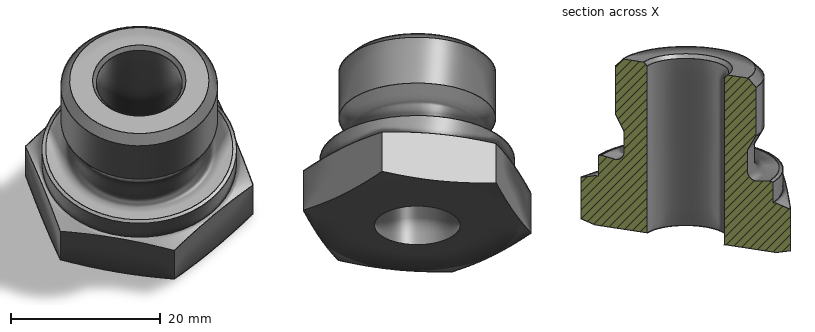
import math

import cadquery as cq

total_height = 24.0
hex_across_flats = 27.0
hex_height = 7.0
hex_chamfer_angle = 15.0

collar_diameter = 26.0
collar_rim_diameter = 25.0
collar_rim_z = 10.0
rim_bevel_angle = 15.0
dish_angle = 8.0

thread_diameter = 20.95
thread_tip_diameter = 18.6
thread_tip_chamfer_height = 1.15
undercut_diameter = 18.4
undercut_fillet_radius = 1.2
thread_runout_z = 16.0
runout_angle = 30.0

bore_diameter = 11.45
bore_mouth_diameter = 12.45


def tan_deg(angle):
    return math.tan(math.radians(angle))


def arc_point(center, radius, angle):
    """Point (r, z) on a circle, with the angle in degrees from the outward direction."""
    direction = math.radians(angle)
    return (center[0] + radius * math.cos(direction), center[1] + radius * math.sin(direction))


def make_hexagon():
    """Hexagon with corners on the Y axis, both faces bevelled by a cone."""
    corner_diameter = hex_across_flats / math.cos(math.radians(30))
    prism = cq.Workplane("XY").polygon(6, corner_diameter).extrude(hex_height)
    prism = prism.rotate((0, 0, 0), (0, 0, 1), 90)

    face_radius = hex_across_flats / 2
    envelope_radius = corner_diameter
    bevel_drop = (envelope_radius - face_radius) * tan_deg(hex_chamfer_angle)
    envelope = (
        cq.Workplane("XZ")
        .moveTo(0, 0)
        .lineTo(face_radius, 0)
        .lineTo(envelope_radius, bevel_drop)
        .lineTo(envelope_radius, hex_height - bevel_drop)
        .lineTo(face_radius, hex_height)
        .lineTo(0, hex_height)
        .close()
        .revolve(360, (0, 0, 0), (0, 1, 0))
    )
    return prism.intersect(envelope)


def make_turned_body():
    """Collar, undercut and threaded spigot as one revolved profile."""
    collar_radius = collar_diameter / 2
    rim_radius = collar_rim_diameter / 2
    undercut_radius = undercut_diameter / 2
    thread_radius = thread_diameter / 2
    bevel_z = collar_rim_z - (collar_radius - rim_radius) * tan_deg(rim_bevel_angle)

    lower_end_angle = dish_angle - 90
    lower_center_r = undercut_radius + undercut_fillet_radius
    dish_inner_r = arc_point((lower_center_r, 0), undercut_fillet_radius, lower_end_angle)[0]
    dish_inner_z = collar_rim_z - (rim_radius - dish_inner_r) * tan_deg(dish_angle)
    lower_center_z = dish_inner_z + undercut_fillet_radius * math.cos(math.radians(dish_angle))
    lower_center = (lower_center_r, lower_center_z)
    lower_mid_angle = (lower_end_angle - 180) / 2

    upper_center_r = undercut_radius + undercut_fillet_radius
    upper_end_angle = 180 - runout_angle
    runout_inner_r = arc_point((upper_center_r, 0), undercut_fillet_radius, upper_end_angle)[0]
    runout_inner_z = thread_runout_z - (thread_radius - runout_inner_r) / tan_deg(runout_angle)
    upper_center_z = runout_inner_z - undercut_fillet_radius * math.sin(math.radians(runout_angle))
    upper_center = (upper_center_r, upper_center_z)
    upper_mid_angle = (180 + upper_end_angle) / 2

    return (
        cq.Workplane("XZ")
        .moveTo(0, 0)
        .lineTo(collar_radius, 0)
        .lineTo(collar_radius, bevel_z)
        .lineTo(rim_radius, collar_rim_z)
        .lineTo(dish_inner_r, dish_inner_z)
        .threePointArc(
            arc_point(lower_center, undercut_fillet_radius, lower_mid_angle),
            (undercut_radius, lower_center_z),
        )
        .lineTo(undercut_radius, upper_center_z)
        .threePointArc(
            arc_point(upper_center, undercut_fillet_radius, upper_mid_angle),
            (runout_inner_r, runout_inner_z),
        )
        .lineTo(thread_radius, thread_runout_z)
        .lineTo(thread_radius, total_height - thread_tip_chamfer_height)
        .lineTo(thread_tip_diameter / 2, total_height)
        .lineTo(0, total_height)
        .close()
        .revolve(360, (0, 0, 0), (0, 1, 0))
    )


def make_bore():
    """Through bore with a 45 degree chamfer at the threaded end."""
    bore_radius = bore_diameter / 2
    mouth_radius = bore_mouth_diameter / 2
    mouth_depth = mouth_radius - bore_radius
    return (
        cq.Workplane("XZ")
        .moveTo(0, 0)
        .lineTo(bore_radius, 0)
        .lineTo(bore_radius, total_height - mouth_depth)
        .lineTo(mouth_radius, total_height)
        .lineTo(0, total_height)
        .close()
        .revolve(360, (0, 0, 0), (0, 1, 0))
    )


result = make_hexagon().union(make_turned_body()).cut(make_bore())